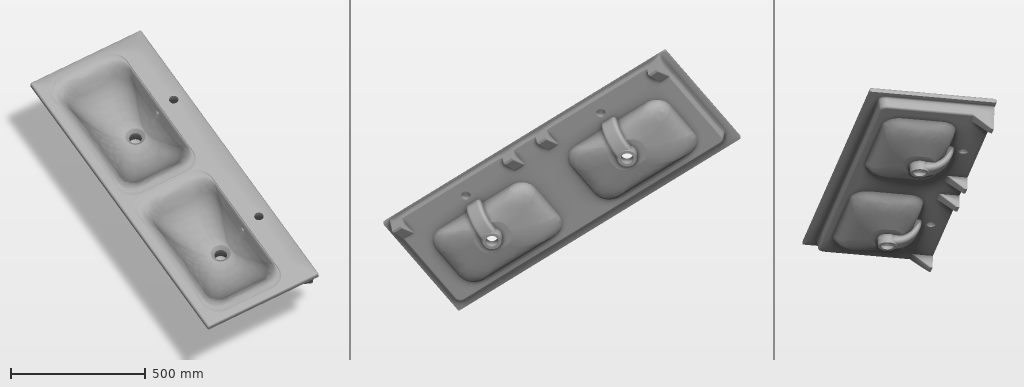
import cadquery as cq
import math


length = 1302.0
width = 480.0
height = 168.0
plate_thickness = 18.0
plate_corner_radius = 5.0
plate_edge_radius = 8.0

body_bottom = -61.0
body_half_length = 620.0
body_front = -197.0
body_back = 238.0
body_back_allowance = 65.0
body_corner_radius = 26.0
body_edge_radius = 8.0
cove_radius = 5.0
draft_angle = 7.0

leg_bottom = -107.0
leg_width = 38.0
leg_foot_depth = 10.0
leg_slope_front = 160.0
leg_edge_radius = 4.0
inner_leg_x = 77.0

bowl_x = 311.0
outlet_y = 15.0
cavity_sections = [
    (0.0, 307.0, 122.0, -206.0, 65.0),
    (4.0, 288.0, 120.0, -194.0, 63.0),
    (12.0, 265.0, 116.0, -181.0, 60.0),
    (33.0, 244.0, 112.0, -164.0, 59.0),
    (63.0, 214.0, 104.0, -143.0, 59.0),
    (98.0, 148.0, 81.0, -100.0, 59.0),
    (118.0, 39.0, 55.0, -23.0, 38.0),
]
shell_sections = [
    (39.0, 247.0, 122.0, -169.0, 65.0),
    (61.0, 229.0, 118.0, -159.0, 65.0),
    (94.0, 200.0, 108.0, -138.0, 65.0),
    (115.0, 150.0, 94.0, -112.0, 63.0),
    (134.0, 72.0, 68.0, -47.0, 50.0),
]

spigot_top_radius = 38.4
spigot_bottom_radius = 35.0
outlet_radius = 23.0
outlet_seat_radius = 38.0
outlet_seat_depth = 12.0

channel_width = 65.0
channel_edge_radius = 13.0
channel_top = -45.0
channel_bottom = -164.0
channel_back = 142.0
channel_front = 50.0
channel_root_y = 111.0
channel_bend = (112.0, -130.0)
overflow_diameter = 21.0
overflow_y = 111.0
overflow_z = -30.0
overflow_depth = 18.0

tap_hole_diameter = 35.0
tap_hole_y = 181.0

bowl_bottom = -shell_sections[-1][0]
cavity_bottom = -cavity_sections[-1][0]
draft_slope = math.tan(math.radians(draft_angle))
leg_foot_half = leg_width / 2
leg_root_half = leg_foot_half + (-plate_thickness - leg_bottom) * draft_slope
outer_leg_x = body_half_length - leg_root_half


def make_plate():
    plate = cq.Workplane("XY").box(length, width, plate_thickness, centered=(True, True, False))
    plate = plate.translate((0, 0, -plate_thickness))
    plate = plate.edges("|Z").fillet(plate_corner_radius)
    return plate.faces(">Z").edges().fillet(plate_edge_radius)


def make_underbody():
    depth = body_back + body_back_allowance - body_front
    body = (
        cq.Workplane("XY", origin=(0, body_front + depth / 2, -plate_thickness))
        .rect(2 * body_half_length, depth)
        .extrude(body_bottom + plate_thickness, taper=draft_angle)
        .edges("not(|X or |Y)")
        .edges("<Y")
        .fillet(body_corner_radius)
        .faces("<Z")
        .edges()
        .fillet(body_edge_radius)
    )
    trim = cq.Workplane("XY").box(length, 2 * body_back, 2 * height)
    return body.intersect(trim)


def add_cove(basin):
    joint = cq.selectors.BoxSelector(
        (-body_half_length - cove_radius, body_front - cove_radius, -plate_thickness - cove_radius),
        (body_half_length + cove_radius, body_back - cove_radius, -plate_thickness + cove_radius),
    )
    return basin.edges(joint).fillet(cove_radius)


def make_leg(x):
    side = (
        cq.Workplane("YZ", origin=(x - length / 2, 0, 0))
        .moveTo(body_back, -plate_thickness)
        .lineTo(body_back, leg_bottom)
        .lineTo(body_back - leg_foot_depth, leg_bottom)
        .lineTo(leg_slope_front, body_bottom)
        .lineTo(leg_slope_front, -plate_thickness)
        .close()
        .extrude(length)
    )
    front = (
        cq.Workplane("XZ", origin=(x, 0, 0))
        .moveTo(-leg_root_half, -plate_thickness)
        .lineTo(-leg_foot_half, leg_bottom)
        .lineTo(leg_foot_half, leg_bottom)
        .lineTo(leg_root_half, -plate_thickness)
        .close()
        .extrude(-length)
    )
    leg = side.intersect(front)
    slope_middle = (
        x,
        (leg_slope_front + body_back - leg_foot_depth) / 2,
        (leg_bottom + body_bottom) / 2,
    )
    slope = leg.faces(cq.NearestToPointSelector(slope_middle))
    return slope.edges("not |X").fillet(leg_edge_radius)


def bowl_loft(sections):
    wires = []
    for depth, half_length, back, front, radius in sections:
        outline = (
            cq.Sketch()
            .push([(0, (back + front) / 2)])
            .rect(2 * half_length, back - front)
            .reset()
            .vertices()
            .fillet(radius)
        )
        wires.append(outline.moved(cq.Location(cq.Vector(0, 0, -depth))))
    return cq.Workplane("XY").placeSketch(*wires).loft()


def make_spigot():
    return (
        cq.Workplane("XZ", origin=(0, outlet_y, 0))
        .moveTo(0, cavity_bottom)
        .lineTo(spigot_top_radius, cavity_bottom)
        .lineTo(spigot_top_radius, bowl_bottom)
        .lineTo(spigot_bottom_radius, -height)
        .lineTo(0, -height)
        .close()
        .revolve(360, (0, 0, 0), (0, 1, 0))
    )


def make_channel():
    channel = (
        cq.Workplane("YZ", origin=(-channel_width / 2, 0, 0))
        .moveTo(channel_back, channel_top)
        .lineTo(channel_back, body_bottom)
        .threePointArc(channel_bend, (channel_front, channel_bottom))
        .lineTo(outlet_y, channel_bottom)
        .lineTo(outlet_y, cavity_bottom)
        .lineTo(channel_root_y, channel_top)
        .close()
        .extrude(channel_width)
    )
    return channel.edges("%CIRCLE").fillet(channel_edge_radius)


def make_outlet_cut():
    seat_bottom = cavity_bottom - outlet_seat_depth
    return (
        cq.Workplane("XZ", origin=(0, outlet_y, 0))
        .moveTo(0, cavity_bottom + outlet_seat_depth)
        .lineTo(outlet_seat_radius, cavity_bottom + outlet_seat_depth)
        .lineTo(outlet_seat_radius, cavity_bottom)
        .lineTo(outlet_radius, seat_bottom)
        .lineTo(outlet_radius, -height)
        .lineTo(0, -height)
        .close()
        .revolve(360, (0, 0, 0), (0, 1, 0))
    )


def make_overflow_cut():
    return (
        cq.Workplane("XZ", origin=(0, overflow_y - overflow_depth, overflow_z))
        .circle(overflow_diameter / 2)
        .extrude(-2 * overflow_depth)
    )


def make_tap_hole():
    return cq.Workplane("XY", origin=(0, tap_hole_y, 0)).circle(tap_hole_diameter / 2).extrude(-height)


result = add_cove(make_plate().union(make_underbody()))
for leg_x in (-outer_leg_x, -inner_leg_x, inner_leg_x, outer_leg_x):
    result = result.union(make_leg(leg_x))

bowl_outside = bowl_loft(shell_sections).union(make_spigot()).union(make_channel())
bowl_inside = (
    bowl_loft(cavity_sections)
    .union(make_outlet_cut())
    .union(make_overflow_cut())
    .union(make_tap_hole())
)
for x in (-bowl_x, bowl_x):
    result = result.union(bowl_outside.translate((x, 0, 0)))
    result = result.cut(bowl_inside.translate((x, 0, 0)))